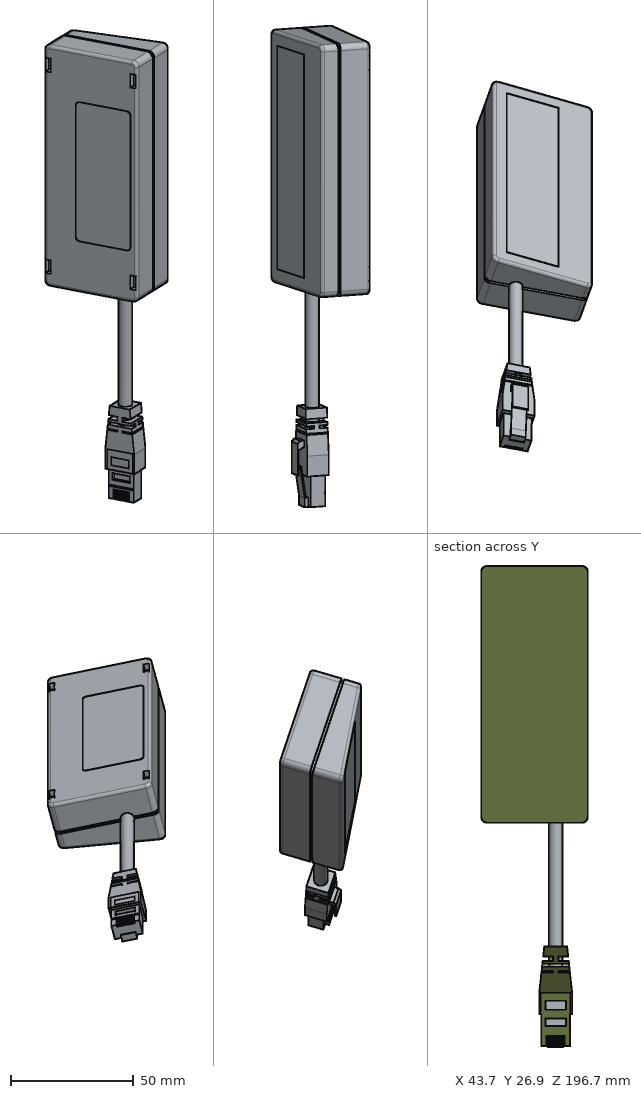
import cadquery as cq

OVERALL_HEIGHT = 196.7

BOX_WIDTH = 43.7
BOX_HEIGHT = 105.0
BOX_LOW_DEPTH = 21.6
BOX_HIGH_DEPTH = 27.1
CORNER_RADIUS = 2.5
RIM_RADIUS = 1.4
SHADOW_GROOVE_WIDTH = 1.2
SHADOW_GROOVE_DEPTH = 1.2

LABEL_LEFT = 15.0
LABEL_WIDTH = 25.5
LABEL_HEIGHT = 60.5
LABEL_RADIUS = 1.8
RECESS_DEPTH = 0.2

BACK_RECESS_LEFT = 15.0
BACK_RECESS_RIGHT = 37.5
BACK_RECESS_END_MARGIN = 6.0

POCKET_SIDE_MARGIN = 0.8
POCKET_END_MARGIN = 5.7
POCKET_WIDTH = 2.4
POCKET_HEIGHT = 5.9
POCKET_DEPTH = 3.0

CABLE_DIAMETER = 5.7
CABLE_X = 30.5
CABLE_Y = 13.8
CABLE_ENTRY = 3.0

BOOT_TOP = 41.1
BOOT_BREAK = 22.0
BOOT_BOTTOM = 13.4
BOOT_TOP_WIDTH = 9.5
BOOT_BOTTOM_WIDTH = 13.5
BOOT_DEPTH = 9.5
UPPER_GAP = (35.2, 37.0)
MIDDLE_GAP = (32.8, 34.0)
LOWER_GAP = (30.5, 31.0)
WEB_WIDTH = 2.4
REAR_WEB_THICKNESS = 0.5
REAR_WEB_INSET = 0.5
HOOD_WIDTH = 6.7
HOOD_STANDOFF = 3.0
HOOD_THICKNESS = 0.5
HOOD_TOP = 27.7
HOOD_ROOT_HEIGHT = 2.5
HOOD_ARM_START = 24.0
HOOD_CHAMFER = 1.2

CONNECTOR_WIDTH = 11.8
CONNECTOR_FRONT = 10.2
SHOULDER_FRONT = 9.2
CONNECTOR_BACK = 16.7
CONNECTOR_BOTTOM = 0.4
WINDOW_WIDTH = 8.3
LOWER_WINDOW = (8.7, 11.6)
UPPER_WINDOW = (15.3, 18.9)
WINDOW_DEPTH = 1.5
CROSS_GROOVE_BOTTOM = 5.7
CROSS_GROOVE_HEIGHT = 0.5
CROSS_GROOVE_DEPTH = 0.2
CONTACT_COUNT = 8
CONTACT_PITCH = 1.0
CONTACT_WIDTH = 0.5
CONTACT_TOP = 4.5
CONTACT_DEPTH = 1.0
LATCH_WIDTH = 6.3
LATCH_FOOT_HEIGHT = 4.0
LATCH_FOOT_FRONT = 15.1
LATCH_FOOT_BACK = 18.3
LATCH_TOP = 17.1
LATCH_TOP_BACK = 20.3
LATCH_THICKNESS = 0.5

BOX_BOTTOM = OVERALL_HEIGHT - BOX_HEIGHT
BACK_SLOPE = (BOX_HIGH_DEPTH - BOX_LOW_DEPTH) / BOX_WIDTH
BOOT_FRONT = CABLE_Y - BOOT_DEPTH / 2
BOOT_BACK = CABLE_Y + BOOT_DEPTH / 2


def block(x_range, y_range, z_range):
    """Box between the given limits on each axis."""
    lows, highs = zip(x_range, y_range, z_range)
    sizes = [high - low for low, high in zip(lows, highs)]
    return cq.Workplane("XY").box(*sizes, centered=False).translate(lows)


def centred(middle, size):
    """Limits of a length centred on the given place."""
    return (middle - size / 2, middle + size / 2)


def cable_rod(bottom, top):
    """Cylinder on the cable axis, used for the cable and for the holes it fills."""
    return (
        cq.Workplane("XY", origin=(CABLE_X, CABLE_Y, bottom))
        .circle(CABLE_DIAMETER / 2)
        .extrude(top - bottom)
    )


def back_depth(x):
    """Y of the sloped back face at the given X."""
    return BOX_LOW_DEPTH + BACK_SLOPE * x


def box_blank():
    """Wedge-shaped box with its four front-to-back edges and its front and back rims rounded."""
    outline = [(0, 0), (BOX_WIDTH, 0), (BOX_WIDTH, BOX_HIGH_DEPTH), (0, BOX_LOW_DEPTH)]
    blank = cq.Workplane("XY", origin=(0, 0, BOX_BOTTOM)).polyline(outline).close().extrude(BOX_HEIGHT)
    blank = blank.edges("|Y").fillet(CORNER_RADIUS)
    back_direction = cq.Vector(-BACK_SLOPE, 1, 0)
    back_face = cq.selectors.ParallelDirSelector(back_direction)
    return blank.faces("<Y").edges().fillet(RIM_RADIUS).faces(back_face).edges().fillet(RIM_RADIUS)


def shadow_groove():
    """Frame that cuts the groove running round all four sides."""
    y_range = centred(CABLE_Y, SHADOW_GROOVE_WIDTH)
    inner_x = (SHADOW_GROOVE_DEPTH, BOX_WIDTH - SHADOW_GROOVE_DEPTH)
    inner_z = (BOX_BOTTOM + SHADOW_GROOVE_DEPTH, OVERALL_HEIGHT - SHADOW_GROOVE_DEPTH)
    core = block(inner_x, y_range, inner_z).edges("|Y").fillet(CORNER_RADIUS - SHADOW_GROOVE_DEPTH)
    return block((0, BOX_WIDTH), y_range, (BOX_BOTTOM, OVERALL_HEIGHT)).cut(core)


def label_recess():
    x_range = (LABEL_LEFT, LABEL_LEFT + LABEL_WIDTH)
    z_range = centred(BOX_BOTTOM + BOX_HEIGHT / 2, LABEL_HEIGHT)
    return block(x_range, (0, RECESS_DEPTH), z_range).edges("|Y").fillet(LABEL_RADIUS)


def back_recess():
    """Shallow recess whose floor is parallel to the sloped back face."""
    outline = [
        (BACK_RECESS_LEFT, back_depth(BACK_RECESS_LEFT) - RECESS_DEPTH),
        (BACK_RECESS_RIGHT, back_depth(BACK_RECESS_RIGHT) - RECESS_DEPTH),
        (BACK_RECESS_RIGHT, BOX_HIGH_DEPTH),
        (BACK_RECESS_LEFT, BOX_HIGH_DEPTH),
    ]
    return (
        cq.Workplane("XY", origin=(0, 0, BOX_BOTTOM + BACK_RECESS_END_MARGIN))
        .polyline(outline)
        .close()
        .extrude(BOX_HEIGHT - 2 * BACK_RECESS_END_MARGIN)
    )


def clip_pocket(left, bottom):
    return block((left, left + POCKET_WIDTH), (0, POCKET_DEPTH), (bottom, bottom + POCKET_HEIGHT))


def make_housing():
    housing = box_blank().cut(shadow_groove()).cut(label_recess()).cut(back_recess())
    for left in (POCKET_SIDE_MARGIN, BOX_WIDTH - POCKET_SIDE_MARGIN - POCKET_WIDTH):
        for bottom in (
            BOX_BOTTOM + POCKET_END_MARGIN,
            OVERALL_HEIGHT - POCKET_END_MARGIN - POCKET_HEIGHT,
        ):
            housing = housing.cut(clip_pocket(left, bottom))
    return housing.cut(cable_rod(BOX_BOTTOM, BOX_BOTTOM + CABLE_ENTRY))


def make_cable():
    """Cable from the top of the connector, through the boot, into the housing."""
    return cable_rod(BOOT_BREAK, BOX_BOTTOM + CABLE_ENTRY)


def boot_blank():
    """Boot that widens from its top to the break and then runs straight."""
    upper = BOOT_TOP_WIDTH / 2
    lower = BOOT_BOTTOM_WIDTH / 2
    outline = [
        (-upper, BOOT_TOP),
        (upper, BOOT_TOP),
        (lower, BOOT_BREAK),
        (lower, BOOT_BOTTOM),
        (-lower, BOOT_BOTTOM),
        (-lower, BOOT_BREAK),
    ]
    return cq.Workplane("XZ", origin=(CABLE_X, BOOT_BACK, 0)).polyline(outline).close().extrude(BOOT_DEPTH)


def relief_slab(gap):
    """Full slice of the boot across one strain-relief gap."""
    return block(centred(CABLE_X, BOOT_BOTTOM_WIDTH), (BOOT_FRONT, BOOT_BACK), gap)


def front_rear_gap(gap):
    """Strain-relief gap bridged by a web in front of the cable and a thin one behind it."""
    web_x = centred(CABLE_X, WEB_WIDTH)
    rear_web_back = BOOT_BACK - REAR_WEB_INSET
    front_web = block(web_x, (BOOT_FRONT, CABLE_Y), gap)
    rear_web = block(web_x, (rear_web_back - REAR_WEB_THICKNESS, rear_web_back), gap)
    return relief_slab(gap).cut(front_web).cut(rear_web)


def side_gap(gap):
    """Strain-relief gap bridged by a web on the left and right of the cable."""
    webs = block(centred(CABLE_X, BOOT_BOTTOM_WIDTH), centred(CABLE_Y, WEB_WIDTH), gap)
    return relief_slab(gap).cut(webs)


def latch_hood():
    """Arm that leaves the back of the boot and runs down over the latch."""
    outer = BOOT_BACK + HOOD_STANDOFF
    inner = outer - HOOD_THICKNESS
    outline = [
        (BOOT_BACK, HOOD_TOP - HOOD_ROOT_HEIGHT),
        (BOOT_BACK, HOOD_TOP),
        (outer, HOOD_TOP),
        (outer, BOOT_BOTTOM),
        (inner, BOOT_BOTTOM),
        (inner, HOOD_ARM_START),
    ]
    hood = (
        cq.Workplane("YZ", origin=(CABLE_X, 0, 0))
        .polyline(outline)
        .close()
        .extrude(HOOD_WIDTH / 2, both=True)
    )
    return hood.edges("|X and >Y and >Z").chamfer(HOOD_CHAMFER)


def make_boot():
    boot = boot_blank().union(latch_hood())
    boot = boot.cut(front_rear_gap(UPPER_GAP)).cut(side_gap(MIDDLE_GAP)).cut(front_rear_gap(LOWER_GAP))
    boot = boot.cut(cable_rod(BOOT_BREAK, BOOT_TOP))
    return boot.cut(connector_shoulder())


def connector_shoulder():
    """Thicker upper part of the connector, which fills the pocket in the boot."""
    return block(
        centred(CABLE_X, CONNECTOR_WIDTH),
        (SHOULDER_FRONT, CONNECTOR_BACK),
        (BOOT_BOTTOM, BOOT_BREAK),
    )


def connector_nose():
    """Part of the connector that shows below the boot."""
    return block(
        centred(CABLE_X, CONNECTOR_WIDTH),
        (CONNECTOR_FRONT, CONNECTOR_BACK),
        (CONNECTOR_BOTTOM, BOOT_BOTTOM),
    )


def front_cut(middle, width, front, depth, z_range):
    """Rectangular cut into a front face of the connector."""
    return block(centred(middle, width), (front, front + depth), z_range)


def latch():
    """Foot behind the connector tip and a thin lever that leans back as it rises."""
    foot = block(
        centred(CABLE_X, LATCH_WIDTH),
        (LATCH_FOOT_FRONT, LATCH_FOOT_BACK),
        (0, LATCH_FOOT_HEIGHT),
    )
    lever_outline = [
        (LATCH_FOOT_BACK, LATCH_FOOT_HEIGHT),
        (LATCH_TOP_BACK, LATCH_TOP),
        (LATCH_TOP_BACK - LATCH_THICKNESS, LATCH_TOP),
        (LATCH_FOOT_BACK - LATCH_THICKNESS, LATCH_FOOT_HEIGHT),
    ]
    lever = (
        cq.Workplane("YZ", origin=(CABLE_X, 0, 0))
        .polyline(lever_outline)
        .close()
        .extrude(LATCH_WIDTH / 2, both=True)
    )
    return foot.union(lever)


def windows():
    """Shallow rectangular recesses, one in the nose and one in the shoulder."""
    lower = front_cut(CABLE_X, WINDOW_WIDTH, CONNECTOR_FRONT, WINDOW_DEPTH, LOWER_WINDOW)
    upper = front_cut(CABLE_X, WINDOW_WIDTH, SHOULDER_FRONT, WINDOW_DEPTH, UPPER_WINDOW)
    return [lower, upper]


def cross_groove():
    z_range = (CROSS_GROOVE_BOTTOM, CROSS_GROOVE_BOTTOM + CROSS_GROOVE_HEIGHT)
    return front_cut(CABLE_X, CONNECTOR_WIDTH, CONNECTOR_FRONT, CROSS_GROOVE_DEPTH, z_range)


def contact_slot(index):
    slot_x = CABLE_X + (index - (CONTACT_COUNT - 1) / 2) * CONTACT_PITCH
    return front_cut(
        slot_x, CONTACT_WIDTH, CONNECTOR_FRONT, CONTACT_DEPTH, (CONNECTOR_BOTTOM, CONTACT_TOP)
    )


def make_connector():
    connector = connector_nose().union(connector_shoulder()).union(latch())
    for window in windows():
        connector = connector.cut(window)
    connector = connector.cut(cross_groove())
    for index in range(CONTACT_COUNT):
        connector = connector.cut(contact_slot(index))
    return connector


housing = make_housing()
cable = make_cable()
boot = make_boot()
connector = make_connector()

bodies = [housing, cable, boot, connector]
result = cq.Compound.makeCompound([body.solids().val() for body in bodies])